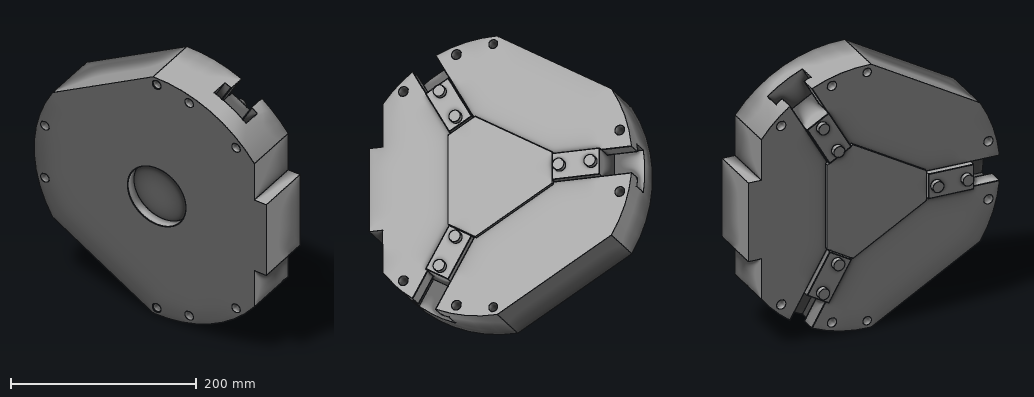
import cadquery as cq


housing_radius = 159.0
housing_depth = 66.0
slanted_flat_distance = 140.0
slanted_flat_angles = (120, 240)
right_flat_distance = 126.5
ear_width = 95.0
ear_distance = 142.0
recess_diameter = 75.0
recess_depth = 12.0
recess_chamfer = 0.5

boss_flat_distance = 50.0
boss_top = 70.0
boss_jaw_gap = 1.0

bolt_hole_diameter = 11.0
bolt_circle_radius = 149.0
bolt_half_angle = 13.6
pin_hole_diameter = 10.0
pin_hole_mouth_diameter = 11.45
pin_circle_radius = 150.0
pin_hole_angles = (90, 270)

jaw_angles = (60, 180, 300)
jaw_inner_radius = 70.0
jaw_length = 54.0
jaw_top = 73.0
stem_width = 30.0
flange_width = 48.0
flange_bottom = 25.0
flange_top = 46.0
jaw_chamfer = 0.5
slot_lip_chamfer = 1.0
slot_mouth_chamfer = 0.5
screw_diameter = 13.0
screw_top = 79.0
screw_radii = (79.0, 115.0)


def extrude_back(sketch, start, end):
    """Extrude a sketch of the XZ plane along +Y, from Y = start to Y = end."""
    return sketch.extrude(start - end).translate((0, start, 0))


def turn(shape, angle):
    """Turn a shape about the chuck axis, from +X towards +Z."""
    return shape.rotate((0, 0, 0), (0, 1, 0), -angle)


def block(x_start, x_end, width, y_start, y_end):
    """Box centred on Z = 0."""
    length = x_end - x_start
    sketch = cq.Workplane("XZ").center(x_start + length / 2, 0).rect(length, width)
    return extrude_back(sketch, y_start, y_end)


def cylinder(diameter, radius, y_start, y_end):
    """Cylinder with its axis parallel to the chuck axis, at X = radius."""
    sketch = cq.Workplane("XZ").center(radius, 0).circle(diameter / 2)
    return extrude_back(sketch, y_start, y_end)


def tee(inner, outer, top):
    """T-shaped bar along X, with its wide flange at the bottom."""
    stem = block(inner, outer, stem_width, flange_bottom, top)
    flange = block(inner, outer, flange_width, flange_bottom, flange_top)
    return stem.union(flange)


def make_jaw(angle):
    jaw = tee(jaw_inner_radius, jaw_inner_radius + jaw_length, jaw_top)
    jaw = jaw.faces(">Y").chamfer(jaw_chamfer)
    for radius in screw_radii:
        jaw = jaw.union(cylinder(screw_diameter, radius, jaw_top, screw_top))
    return turn(jaw, angle)


def make_boss():
    """Triangle with its corners cut off square in front of each jaw."""
    boss_corner_distance = jaw_inner_radius - boss_jaw_gap
    corner_radius = 2 * boss_flat_distance
    triangle = cq.Workplane("XZ").polygon(3, 2 * corner_radius)
    boss = turn(extrude_back(triangle, housing_depth, boss_top), jaw_angles[0])
    for angle in jaw_angles:
        corner = block(boss_corner_distance, corner_radius, corner_radius, housing_depth, boss_top)
        boss = boss.cut(turn(corner, angle))
    return boss


def make_bevel(wide_level, narrow_level):
    """Trapezoidal bar along X that bevels both edges of the stem slot at 45 degrees."""
    half_width = stem_width / 2
    wide_half = half_width + abs(narrow_level - wide_level)
    return (
        cq.Workplane("YZ", origin=(jaw_inner_radius, 0, 0))
        .polyline(
            [
                (wide_level, -wide_half),
                (wide_level, wide_half),
                (narrow_level, half_width),
                (narrow_level, -half_width),
            ]
        )
        .close()
        .extrude(housing_radius)
    )


def make_slot():
    """T-slot open at the rim, with its lip and mouth edges bevelled."""
    slot = tee(jaw_inner_radius, 2 * housing_radius, housing_depth)
    slot = slot.union(make_bevel(flange_top, flange_top + slot_lip_chamfer))
    return slot.union(make_bevel(housing_depth, housing_depth - slot_mouth_chamfer))


def make_pin_hole():
    """Through hole with a 45 degree countersink on the front face."""
    hole_radius = pin_hole_diameter / 2
    mouth_radius = pin_hole_mouth_diameter / 2
    mouth_centre = cq.Vector(pin_circle_radius, 0, 0)
    countersink = cq.Solid.makeCone(
        mouth_radius, hole_radius, mouth_radius - hole_radius, mouth_centre, cq.Vector(0, 1, 0)
    )
    return cylinder(pin_hole_diameter, pin_circle_radius, 0, housing_depth).union(countersink)


def make_housing():
    full_width = 2 * housing_radius
    body = cylinder(full_width, 0, 0, housing_depth)
    for angle in slanted_flat_angles:
        offcut = block(slanted_flat_distance, full_width, full_width, 0, housing_depth)
        body = body.cut(turn(offcut, angle))
    body = body.cut(block(right_flat_distance, full_width, full_width, 0, housing_depth))
    body = body.union(block(0, ear_distance, ear_width, 0, housing_depth))
    body = body.union(make_boss())

    body = body.cut(cylinder(recess_diameter, 0, 0, recess_depth))
    body = body.faces("<Y").edges(cq.selectors.RadiusNthSelector(0)).chamfer(recess_chamfer)

    for angle in jaw_angles:
        body = body.cut(turn(make_slot(), angle))
        for offset in (-bolt_half_angle, bolt_half_angle):
            bolt_hole = cylinder(bolt_hole_diameter, bolt_circle_radius, 0, housing_depth)
            body = body.cut(turn(bolt_hole, angle + offset))

    pin_hole = make_pin_hole()
    for angle in pin_hole_angles:
        body = body.cut(turn(pin_hole, angle))
    return body


housing = make_housing()
jaws = [make_jaw(angle) for angle in jaw_angles]

result = cq.Compound.makeCompound([housing.val(), *[jaw.val() for jaw in jaws]])